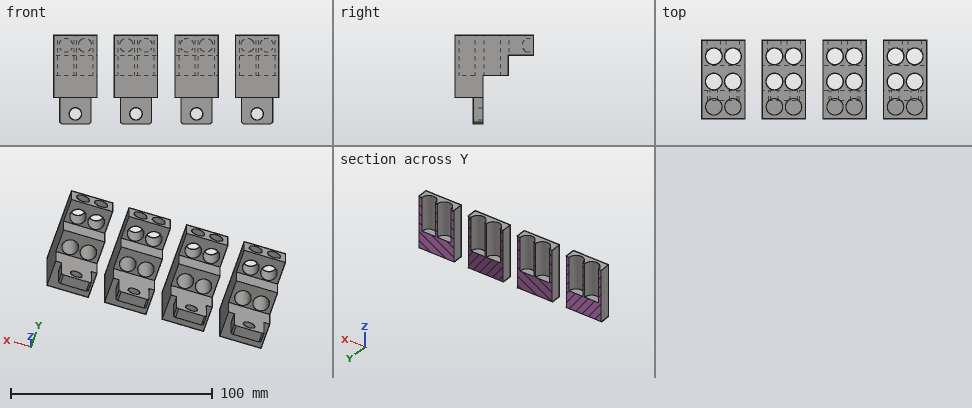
import cadquery as cq

BLOCK_COUNT = 4
ROW_LENGTH = 111.5
BLOCK_WIDTH = 21.5
BLOCK_PITCH = (ROW_LENGTH - BLOCK_WIDTH) / (BLOCK_COUNT - 1)

BLOCK_DEPTH = 39.0
BLOCK_HEIGHT = 31.0
STEP_DEPTH = 12.5
STEP_HEIGHT = 10.0

TAB_WIDTH = 15.5
TAB_THICKNESS = 5.0
TAB_LENGTH = 13.0
TAB_LEFT_INSET = 3.0
TAB_CHAMFER = 1.0
TAB_HOLE_DIAMETER = 6.0
TAB_HOLE_ABOVE_TIP = 5.0

SCREW_HOLE_DIAMETER = 8.1
SCREW_COLUMN_PITCH = 9.5
SCREW_FRONT_INSET = 6.0
FRONT_SCREW_DEPTH = 2 * STEP_HEIGHT

WIRE_HOLE_DIAMETER = 6.7

LOWEST_STEP_DEPTH = BLOCK_DEPTH - 2 * STEP_DEPTH
SCREW_COLUMNS = [(BLOCK_WIDTH - SCREW_COLUMN_PITCH) / 2, (BLOCK_WIDTH + SCREW_COLUMN_PITCH) / 2]
REAR_SCREW_Y = SCREW_FRONT_INSET + 2 * STEP_DEPTH


def stepped_body():
    """Block whose rear descends in two steps towards the front."""
    upper_ledge = BLOCK_HEIGHT - STEP_HEIGHT
    lower_ledge = BLOCK_HEIGHT - 2 * STEP_HEIGHT
    profile = [
        (0, 0),
        (LOWEST_STEP_DEPTH, 0),
        (LOWEST_STEP_DEPTH, lower_ledge),
        (LOWEST_STEP_DEPTH + STEP_DEPTH, lower_ledge),
        (LOWEST_STEP_DEPTH + STEP_DEPTH, upper_ledge),
        (BLOCK_DEPTH, upper_ledge),
        (BLOCK_DEPTH, BLOCK_HEIGHT),
        (0, BLOCK_HEIGHT),
    ]
    return cq.Workplane("YZ").polyline(profile).close().extrude(BLOCK_WIDTH)


def mounting_tab():
    """Flat tab with chamfered lower corners and a bolt hole."""
    tab_front = LOWEST_STEP_DEPTH - TAB_THICKNESS
    tab = (
        cq.Workplane("XY")
        .box(TAB_WIDTH, TAB_THICKNESS, TAB_LENGTH, centered=False)
        .translate((TAB_LEFT_INSET, tab_front, -TAB_LENGTH))
        .faces("<Z")
        .edges("|Y")
        .chamfer(TAB_CHAMFER)
    )
    bolt_hole = (
        cq.Workplane("XZ", origin=(0, tab_front, 0))
        .center(TAB_LEFT_INSET + TAB_WIDTH / 2, TAB_HOLE_ABOVE_TIP - TAB_LENGTH)
        .circle(TAB_HOLE_DIAMETER / 2)
        .extrude(-TAB_THICKNESS)
    )
    return tab.cut(bolt_hole)


def screw_holes(row_y, depth):
    """Pair of vertical holes sunk from the top face."""
    return (
        cq.Workplane("XY", origin=(0, 0, BLOCK_HEIGHT))
        .pushPoints([(x, row_y) for x in SCREW_COLUMNS])
        .circle(SCREW_HOLE_DIAMETER / 2)
        .extrude(-depth)
    )


def wire_holes():
    """Pair of horizontal holes at mid-height of the top step, ending on the screw axes."""
    mid_step_z = BLOCK_HEIGHT - STEP_HEIGHT / 2
    return (
        cq.Workplane("XZ", origin=(0, BLOCK_DEPTH, 0))
        .pushPoints([(x, mid_step_z) for x in SCREW_COLUMNS])
        .circle(WIRE_HOLE_DIAMETER / 2)
        .extrude(BLOCK_DEPTH - REAR_SCREW_Y)
    )


def terminal_block():
    """One complete block: stepped body, tab and holes."""
    return (
        stepped_body()
        .union(mounting_tab())
        .cut(screw_holes(SCREW_FRONT_INSET, FRONT_SCREW_DEPTH))
        .cut(screw_holes(SCREW_FRONT_INSET + STEP_DEPTH, 2 * STEP_HEIGHT))
        .cut(screw_holes(REAR_SCREW_Y, STEP_HEIGHT))
        .cut(wire_holes())
    )


blocks = [terminal_block().translate((i * BLOCK_PITCH, 0, 0)) for i in range(BLOCK_COUNT)]

result = cq.Compound.makeCompound([block.val() for block in blocks])